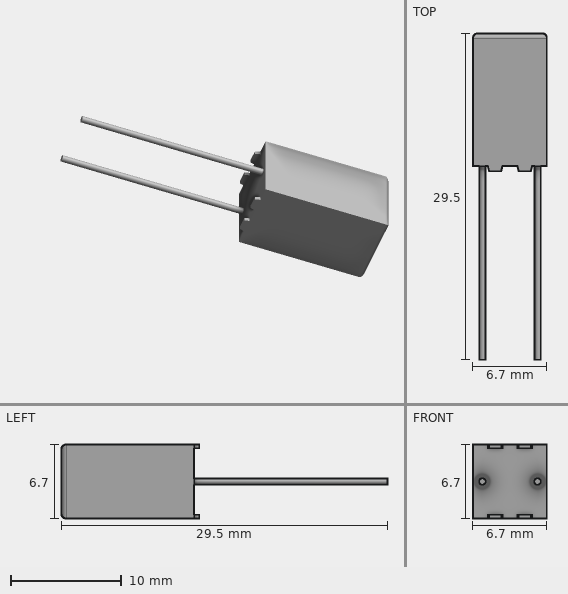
import cadquery as cq


overall_length = 29.5
case_width = 6.7
case_length = 12.0
back_edge_radius = 0.45

lead_diameter = 0.6
lead_spacing = 5.0

tab_base_width = case_width / 5
tab_offset = case_width / 5
tab_side_inset = 0.12
tab_height = 0.47
tab_thickness = 0.35

lead_length = overall_length - case_length
half_width = case_width / 2


def make_tab(center_x, bottom_z):
    """Standoff tab: a trapezoid narrowing away from the mounting face."""
    half_base = tab_base_width / 2
    half_tip = half_base - tab_side_inset
    return (
        cq.Workplane("XY", origin=(center_x, 0, bottom_z))
        .moveTo(-half_base, 0)
        .lineTo(-half_tip, -tab_height)
        .lineTo(half_tip, -tab_height)
        .lineTo(half_base, 0)
        .close()
        .extrude(tab_thickness)
    )


def make_case():
    """Square block with rounded back edges and four tabs on the mounting face."""
    case = (
        cq.Workplane("XY")
        .box(case_width, case_length, case_width, centered=(True, False, True))
        .faces(">Y")
        .edges()
        .fillet(back_edge_radius)
    )
    for bottom_z in (-half_width, half_width - tab_thickness):
        for side in (-1, 1):
            case = case.union(make_tab(side * tab_offset, bottom_z))
    return case


def make_lead(center_x):
    """Round wire that starts on the mounting face."""
    return (
        cq.Workplane("XZ", origin=(center_x, 0, 0))
        .circle(lead_diameter / 2)
        .extrude(lead_length)
    )


case = make_case()
leads = [make_lead(side * lead_spacing / 2) for side in (-1, 1)]

result = cq.Compound.makeCompound([case.val(), *[lead.val() for lead in leads]])